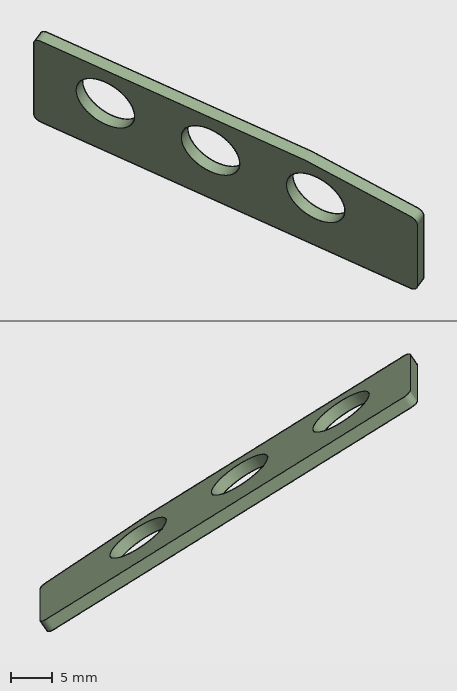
import cadquery as cq

length = 52.75
thickness = 1.6
height = 15.4
corner_radius = 1.0

slope_start = 37.3
slope_drop = 1.8

hole_diameter = 8.0
hole_count = 3
first_hole_x = 9.85
hole_pitch = 14.45
hole_z = 9.1


def make_plate():
    """Flat plate in the XZ plane, with every corner of its outline rounded."""
    outline = [
        (0, 0),
        (length, 0),
        (length, height - slope_drop),
        (slope_start, height),
        (0, height),
    ]
    plate = cq.Workplane("XZ").polyline(outline).close().extrude(-thickness)
    return plate.edges("|Y").fillet(corner_radius)


def make_holes():
    """Cylinders that pass through the full plate thickness."""
    centers = [(first_hole_x + i * hole_pitch, hole_z) for i in range(hole_count)]
    return cq.Workplane("XZ").pushPoints(centers).circle(hole_diameter / 2).extrude(-thickness)


result = make_plate().cut(make_holes())